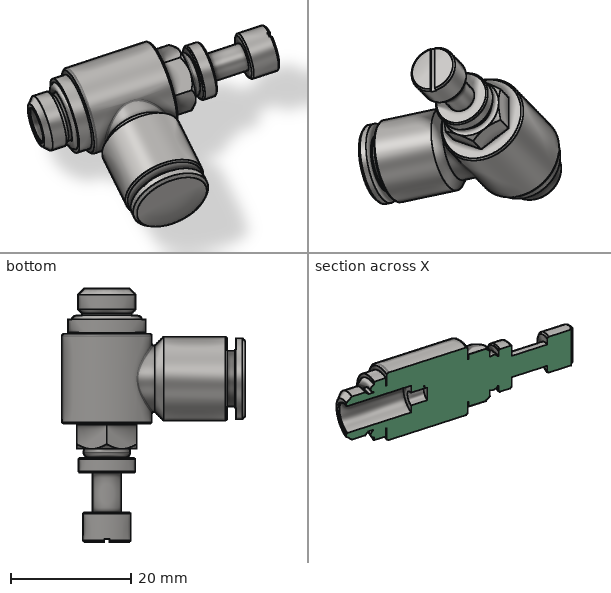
import cadquery as cq
import math


body_radius = 7.5
body_half_length = 7.5
body_chamfer = 0.3
swivel_gap = 0.15
gap_neck_radius = 4.75

hex_across_flats = 10.0
hex_height = 4.0
hex_corner_radius = hex_across_flats / math.sqrt(3)
hex_bottom = body_half_length + swivel_gap
hex_top = hex_bottom + hex_height

ring_space = 1.5
top_ring_radius = 2.95
top_ring_section = 0.95
ring_core_radius = 3.3

nut_radius = 4.75
nut_height = 2.5
nut_chamfer = 0.25
stem_radius = 2.4
stem_length = 6.5
head_radius = 4.0
head_height = 5.0
head_chamfer = 0.3
slot_width = 0.85
slot_depth = 0.5
nut_bottom = hex_top + ring_space
nut_top = nut_bottom + nut_height
head_bottom = nut_top + stem_length
head_top = head_bottom + head_height

collar_radius = 6.5
collar_height = 2.2
collar_top = -body_half_length - swivel_gap
collar_bottom = collar_top - collar_height
thread_end = -15.0
thread_radius = 4.8
thread_length = 3.5
thread_end_chamfer = 1.05
thread_neck_radius = 4.15
thread_top = thread_end + thread_length
neck_taper = thread_radius - thread_neck_radius

seal_section = 0.9
seal_radius = 5.0
seal_recess = 0.25
seal_center = collar_bottom + seal_recess

bore_radius = 2.9
bore_mouth_chamfer = 0.2
bore_depth = 12.0
orifice_radius = 1.35
orifice_depth = 3.0

port_neck_radius = 5.55
port_neck_end = 8.0
port_radius = 7.0
port_end = 20.0
port_end_chamfer = 0.3
port_blend = 0.2
collet_radius = 4.65
collet_step_radius = 4.85
collet_step_start = 21.25
flange_start = 21.45
flange_radius = 6.75
flange_chamfer = 0.5
flange_end = 23.0


def disc(radius, y_low, y_high):
    """Cylinder about the Y axis between two heights."""
    base = cq.Workplane("XZ", origin=(0, y_low, 0)).circle(radius)
    return base.extrude(y_low - y_high)


def chamfered_disc(radius, y_low, y_high, chamfer):
    return disc(radius, y_low, y_high).edges().chamfer(chamfer)


def ring(radius, section_radius, y):
    """Torus about the Y axis."""
    section = cq.Workplane("XY").center(radius, y).circle(section_radius)
    return section.revolve(360, (-radius, 0, 0), (-radius, 1, 0))


def revolve_about_y(points):
    return cq.Workplane("XY").polyline(points).close().revolve(360, (0, 0, 0), (0, 1, 0))


def make_port():
    cone_length = port_radius - port_neck_radius
    outline = [
        (0, 0),
        (0, port_neck_radius),
        (port_neck_end, port_neck_radius),
        (port_neck_end + cone_length, port_radius),
        (port_end - port_end_chamfer, port_radius),
        (port_end, port_radius - port_end_chamfer),
        (port_end, collet_radius),
        (collet_step_start, collet_radius),
        (collet_step_start, collet_step_radius),
        (flange_start, collet_step_radius),
        (flange_start, flange_radius),
        (flange_end - flange_chamfer, flange_radius),
        (flange_end, flange_radius - flange_chamfer),
        (flange_end, 0),
    ]
    return cq.Workplane("XY").polyline(outline).close().revolve(360, (0, 0, 0), (1, 0, 0))


def make_body():
    """Swivel body with the port blended into its side."""
    body = chamfered_disc(body_radius, -body_half_length, body_half_length, body_chamfer)
    reach = body_radius - body_chamfer
    junction = cq.selectors.BoxSelector((0, -reach, -reach), (reach, reach, reach))
    return body.union(make_port()).edges(junction).fillet(port_blend)


def make_hexagon():
    corners = []
    for index in range(6):
        angle = math.pi / 2 + index * math.pi / 3
        x = hex_corner_radius * math.cos(angle)
        z = hex_corner_radius * math.sin(angle)
        corners.append((x, z))
    plane = cq.Workplane("XZ", origin=(0, hex_bottom, 0))
    prism = plane.polyline(corners).close().extrude(-hex_height)
    top_radius = hex_across_flats / 2
    cone = revolve_about_y([
        (0, hex_bottom),
        (top_radius + hex_height, hex_bottom),
        (top_radius, hex_top),
        (0, hex_top),
    ])
    return prism.intersect(cone)


def make_screw():
    """Ring, lock nut, stem and slotted head above the hexagon."""
    core = disc(ring_core_radius, hex_top, nut_bottom)
    seal = ring(top_ring_radius, top_ring_section, nut_bottom - top_ring_section)
    nut = chamfered_disc(nut_radius, nut_bottom, nut_top, nut_chamfer)
    stem = disc(stem_radius, nut_top, head_bottom)
    head = chamfered_disc(head_radius, head_bottom, head_top, head_chamfer)
    slot = cq.Workplane("XY").box(slot_width, 2 * slot_depth, 2 * head_radius)
    head = head.cut(slot.translate((0, head_top, 0)))
    return core.union(seal).union(nut).union(stem).union(head)


def make_threaded_end():
    """Collar, sealing ring and relieved thread below the body."""
    shank = revolve_about_y([
        (0, collar_top),
        (collar_radius, collar_top),
        (collar_radius, collar_bottom),
        (thread_neck_radius, collar_bottom),
        (thread_neck_radius, thread_top + neck_taper),
        (thread_radius, thread_top),
        (thread_radius, thread_end + thread_end_chamfer),
        (thread_radius - thread_end_chamfer, thread_end),
        (0, thread_end),
    ])
    return shank.union(ring(seal_radius, seal_section, seal_center))


def make_bore():
    bore_floor = thread_end + bore_depth
    return revolve_about_y([
        (0, thread_end),
        (bore_radius + bore_mouth_chamfer, thread_end),
        (bore_radius, thread_end + bore_mouth_chamfer),
        (bore_radius, bore_floor),
        (orifice_radius, bore_floor),
        (orifice_radius, bore_floor + orifice_depth),
        (0, bore_floor + orifice_depth),
    ])


gap_neck = disc(gap_neck_radius, collar_top, hex_bottom)
result = make_body().union(gap_neck).union(make_hexagon()).union(make_screw())
result = result.union(make_threaded_end()).cut(make_bore())